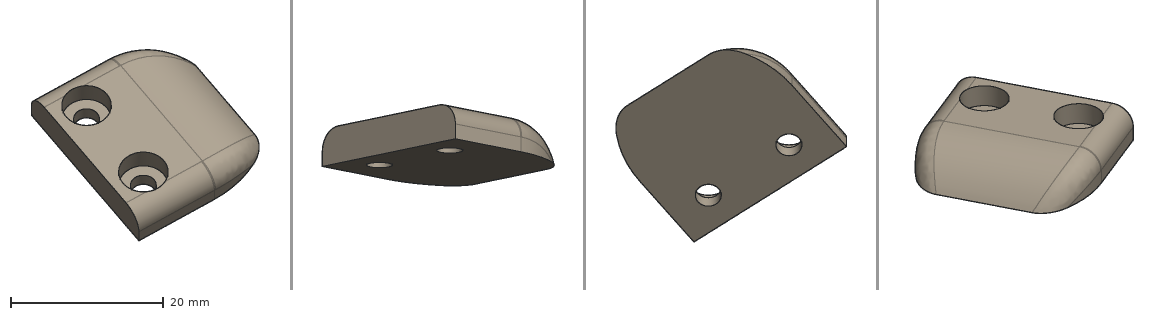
import cadquery as cq
import math

width = 25.0
height = 5.0
edge_radius = 3.0

nose_start = 12.15
nose_radius = 13.0
nose_drop = nose_radius - height
length = nose_start + math.sqrt(nose_radius**2 - nose_drop**2)

side_start = 12.0
side_radius = 16.0

hole_spacing = 13.2
hole_y = 4.75
hole_diameter = 3.4
counterbore_diameter = 6.5
counterbore_depth = 3.0


def point_on_arc(radius, start, along):
    """Inward offset of an arc that starts parallel to Y, at distance along Y."""
    return radius - math.sqrt(radius**2 - (along - start) ** 2)


def make_side_profile():
    """Extrude the long section, with its sloping nose, across the width."""
    middle_y = (nose_start + length) / 2
    middle_z = height - point_on_arc(nose_radius, nose_start, middle_y)
    return (
        cq.Workplane("YZ")
        .moveTo(0, 0)
        .lineTo(0, height)
        .lineTo(nose_start, height)
        .threePointArc((middle_y, middle_z), (length, 0))
        .close()
        .extrude(width / 2, both=True)
    )


def make_plan():
    """Extrude the plan outline, whose sides curve inward at the nose."""
    half = width / 2
    middle_y = (side_start + length) / 2
    middle_x = half - point_on_arc(side_radius, side_start, middle_y)
    end_x = half - point_on_arc(side_radius, side_start, length)
    return (
        cq.Workplane("XY")
        .moveTo(-half, 0)
        .lineTo(half, 0)
        .lineTo(half, side_start)
        .threePointArc((middle_x, middle_y), (end_x, length))
        .lineTo(-end_x, length)
        .threePointArc((-middle_x, middle_y), (-half, side_start))
        .close()
        .extrude(height)
    )


def round_top_sides(body):
    """Fillet both long top edges, including their curved run down the nose."""
    above_base = cq.selectors.BoxSelector(
        (-width, -length, height / 4), (width, 2 * length, 2 * height)
    )
    top_side_edges = body.edges(above_base).edges("not (|X or |Z)")
    return top_side_edges.fillet(edge_radius)


def cut_screw_holes(body):
    """Cut the two counterbored through holes from the top."""
    return (
        body.faces(">Z")
        .workplane(origin=(0, hole_y, height))
        .pushPoints([(-hole_spacing / 2, 0), (hole_spacing / 2, 0)])
        .cboreHole(hole_diameter, counterbore_diameter, counterbore_depth)
    )


blank = make_side_profile().intersect(make_plan())
result = cut_screw_holes(round_top_sides(blank))